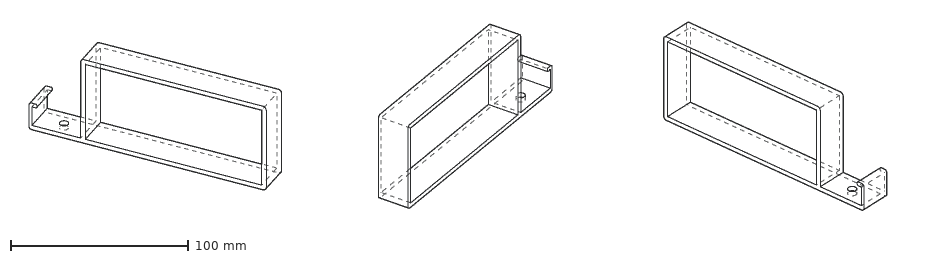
import cadquery as cq

length = 149.0
width = 20.0
height = 56.0

wall = 3.0
frame_left = 32.5
frame_corner_radius = 2.2

hook_height = 17.9
hook_reach = 5.0
hook_wall = 2.0
lip_thickness = 2.5
hook_corner_radius = 2.0
lip_tip_radius = 0.9

hole_diameter = 5.2
hole_x = 17.3

frame_length = length - frame_left


def block(x, z, size_x, size_z):
    """Full-width block with its low corner at (x, z), centred on Y."""
    return cq.Workplane("XY").box(size_x, width, size_z, centered=(False, True, False)).translate((x, 0, z))


def round_edge(body, x, z, radius):
    """Round the single Y-direction edge nearest to (x, z)."""
    return body.edges("|Y").edges(cq.selectors.NearestToPointSelector((x, 0, z))).fillet(radius)


body = block(0, 0, length, wall).union(block(frame_left, 0, frame_length, height))
body = body.cut(block(frame_left + wall, wall, frame_length - 2 * wall, height - 2 * wall))

body = body.union(block(0, 0, hook_wall, hook_height))
body = body.union(block(0, hook_height - lip_thickness, hook_reach, lip_thickness))

for x, z in [(frame_left, height), (length, height), (length, 0)]:
    body = round_edge(body, x, z, frame_corner_radius)

for z in (0, hook_height):
    body = round_edge(body, 0, z, hook_corner_radius)
for z in (hook_height - lip_thickness, hook_height):
    body = round_edge(body, hook_reach, z, lip_tip_radius)

hole = cq.Workplane("XY").center(hole_x, 0).circle(hole_diameter / 2).extrude(wall)
result = body.cut(hole)